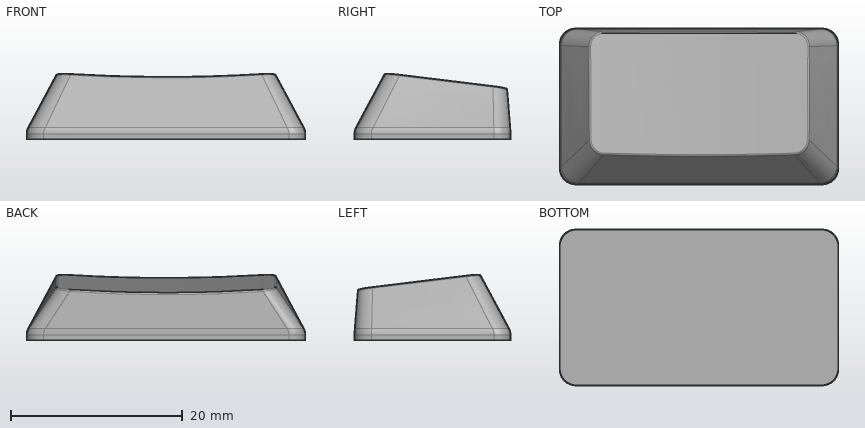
import cadquery as cq
import math

LENGTH = 32.45
WIDTH = 18.17
BASE_CORNER_RADIUS = 1.95
UPPER_CORNER_RADIUS = 1.7

SKIRT_HEIGHT = 0.65
SHOULDER_RISE = 0.75
SIDE_SLOPE = 0.57
FRONT_SLOPE = 0.535
BACK_SLOPE = 0.08

TOP_TILT = 7.0
BLANK_TOP_HEIGHT = 7.27
BLANK_TOP_LENGTH = 25.25
BLANK_TOP_FRONT_Y = -5.4
BLANK_TOP_BACK_Y = 8.65

DISH_RADIUS = 172.0
DISH_CENTRE_HEIGHT = 6.6
TOP_EDGE_RADIUS = 0.23

SHOULDER_TOP = SKIRT_HEIGHT + SHOULDER_RISE


def rounded_rectangle(length, width, radius):
    return cq.Sketch().rect(length, width).vertices().fillet(radius)


def shoulder_outline(height):
    """Outline at a height in the shoulder; its inset grows as a parabola."""
    lean_height = (height - SKIRT_HEIGHT) ** 2 / (2 * SHOULDER_RISE)
    front_inset = FRONT_SLOPE * lean_height
    back_inset = BACK_SLOPE * lean_height
    length = LENGTH - 2 * SIDE_SLOPE * lean_height
    width = WIDTH - front_inset - back_inset
    centre = cq.Vector(0, (front_inset - back_inset) / 2, height)
    return rounded_rectangle(length, width, BASE_CORNER_RADIUS).moved(cq.Location(centre))


def blank_top_outline():
    """Tilted rounded rectangle whose sides are parallel seen from above."""
    tilt = math.radians(TOP_TILT)
    width = (BLANK_TOP_BACK_Y - BLANK_TOP_FRONT_Y) / math.cos(tilt)
    centre_y = (BLANK_TOP_BACK_Y + BLANK_TOP_FRONT_Y) / 2
    centre = cq.Vector(0, centre_y, BLANK_TOP_HEIGHT - centre_y * math.tan(tilt))
    placement = cq.Location(centre, cq.Vector(1, 0, 0), -TOP_TILT)
    return rounded_rectangle(BLANK_TOP_LENGTH, width, UPPER_CORNER_RADIUS).moved(placement)


def make_blank():
    base_outline = rounded_rectangle(LENGTH, WIDTH, BASE_CORNER_RADIUS)
    skirt = cq.Workplane("XY").placeSketch(base_outline).extrude(SKIRT_HEIGHT)
    shoulder_heights = (SKIRT_HEIGHT, SKIRT_HEIGHT + SHOULDER_RISE / 2, SHOULDER_TOP)
    shoulder_outlines = [shoulder_outline(height) for height in shoulder_heights]
    shoulder = cq.Workplane("XY").placeSketch(*shoulder_outlines).loft()
    wall_outlines = (shoulder_outline(SHOULDER_TOP), blank_top_outline())
    walls = cq.Workplane("XY").placeSketch(*wall_outlines).loft(ruled=True)
    return skirt.union(shoulder).union(walls)


def make_dish_cutter():
    cutter = (
        cq.Workplane("XZ")
        .center(0, DISH_RADIUS)
        .circle(DISH_RADIUS)
        .extrude(LENGTH, both=True)
    )
    return cutter.rotate((0, 0, 0), (1, 0, 0), -TOP_TILT).translate((0, 0, DISH_CENTRE_HEIGHT))


dished = make_blank().cut(make_dish_cutter())
result = dished.faces(">Z").edges().fillet(TOP_EDGE_RADIUS)